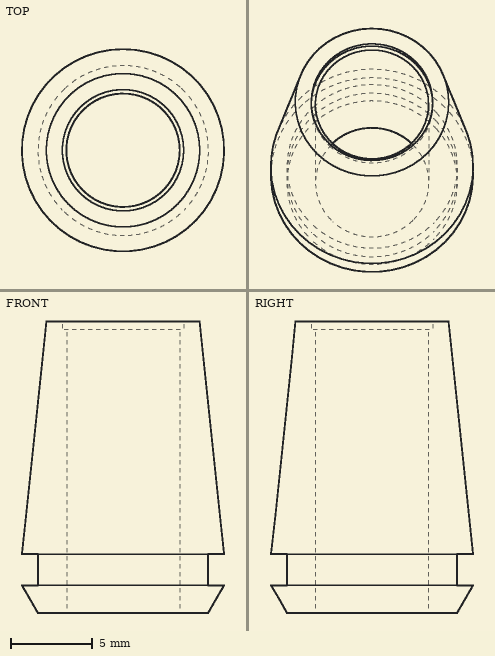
import cadquery as cq

height = 18.0
max_radius = 6.25

top_radius = 4.73
neck_radius = 5.25
base_radius = 5.25
rim_height = 1.71
taper_bottom = 3.64

bore_radius = 3.5
counterbore_radius = 3.75
counterbore_depth = 0.5

outer_profile = (
    cq.Workplane("YZ")
    .lineTo(base_radius, 0)
    .lineTo(max_radius, rim_height)
    .lineTo(neck_radius, rim_height)
    .lineTo(neck_radius, taper_bottom)
    .lineTo(max_radius, taper_bottom)
    .lineTo(top_radius, height)
    .lineTo(0, height)
    .close()
)
body = outer_profile.revolve(360, (0, 0, 0), (0, 1, 0))

bore = cq.Workplane("XY").circle(bore_radius).extrude(height)
counterbore = (
    cq.Workplane("XY")
    .workplane(offset=height - counterbore_depth)
    .circle(counterbore_radius)
    .extrude(counterbore_depth)
)

result = body.cut(bore).cut(counterbore)